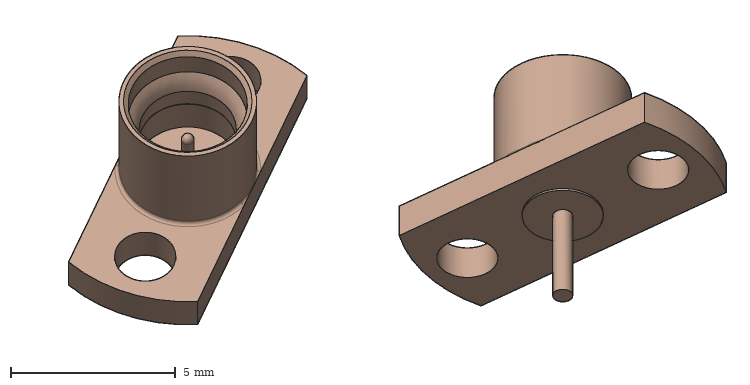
import cadquery as cq

flange_width = 4.19
flange_length = 10.12
flange_thickness = 1.15
mount_hole_diameter = 1.85
mount_hole_offset = 3.58

barrel_radius = 4.17 / 2
barrel_top = 4.52
overall_height = 7.7
root_fillet = 0.12

mouth_radius = 1.94
mouth_chamfer_depth = 0.14
wide_bore_radius = 3.6 / 2
wide_bore_depth = 0.89
throat_mid_radius = 1.59
throat_mid_depth = 1.14
narrow_bore_radius = 2.94 / 2
narrow_bore_depth = 1.44
flare_start_depth = 2.05
flare_end_depth = 2.24
chamber_radius = 3.18 / 2
floor_depth = barrel_top - flange_thickness

insulator_radius = 2.46 / 2
insulator_drop = 0.07
tail_radius = 0.61 / 2
tail_bottom = barrel_top - overall_height
contact_radius = 0.38 / 2
contact_tip_depth = 1.72
contact_gap_radius = 0.79 / 2
contact_gap_depth = 0.1


def rod(radius, bottom, top):
    """Vertical cylinder on the socket axis."""
    return cq.Workplane("XY").workplane(offset=bottom).circle(radius).extrude(top - bottom)


def make_flange():
    """Flat-sided plate with ends rounded about the socket axis and two mounting holes."""
    sides = cq.Workplane("XY").rect(flange_width, flange_length).extrude(flange_thickness)
    plate = rod(flange_length / 2, 0, flange_thickness).intersect(sides)
    holes = (
        cq.Workplane("XY")
        .pushPoints([(0, -mount_hole_offset), (0, mount_hole_offset)])
        .circle(mount_hole_diameter / 2)
        .extrude(flange_thickness)
    )
    return plate.cut(holes)


def make_housing():
    """Flange and solid barrel, blended by a fillet that runs out along the flange sides."""
    housing = make_flange().union(rod(barrel_radius, 0, barrel_top))
    reach = barrel_radius + root_fillet
    root = cq.selectors.BoxSelector(
        (-reach, -reach, flange_thickness - root_fillet),
        (reach, reach, flange_thickness + root_fillet),
        boundingbox=True,
    )
    return housing.edges("%CIRCLE").edges(root).fillet(root_fillet)


def make_bore():
    """Stepped cavity: chamfered mouth, wide bore, rounded throat, narrow bore and flared chamber."""
    profile = (
        cq.Workplane("XZ", origin=(0, 0, barrel_top))
        .lineTo(mouth_radius, 0)
        .lineTo(wide_bore_radius, -mouth_chamfer_depth)
        .lineTo(wide_bore_radius, -wide_bore_depth)
        .threePointArc((throat_mid_radius, -throat_mid_depth), (narrow_bore_radius, -narrow_bore_depth))
        .lineTo(narrow_bore_radius, -flare_start_depth)
        .lineTo(chamber_radius, -flare_end_depth)
        .lineTo(chamber_radius, -floor_depth)
        .lineTo(0, -floor_depth)
        .close()
    )
    return profile.revolve(360, (0, 0, 0), (0, 1, 0))


def make_contact():
    """Pin rising from the bore floor to a hemispherical tip."""
    floor = barrel_top - floor_depth - contact_gap_depth
    tip_center = barrel_top - contact_tip_depth - contact_radius
    pin = rod(contact_radius, floor, tip_center)
    return pin.union(cq.Workplane("XY").sphere(contact_radius).translate((0, 0, tip_center)))


floor_height = barrel_top - floor_depth
contact_gap = rod(contact_gap_radius, floor_height - contact_gap_depth, floor_height)

body = make_housing().cut(make_bore()).cut(contact_gap)
insulator = rod(insulator_radius, -insulator_drop, flange_thickness / 2)
tail = rod(tail_radius, tail_bottom, flange_thickness / 2)
result = body.union(insulator).union(tail).union(make_contact())